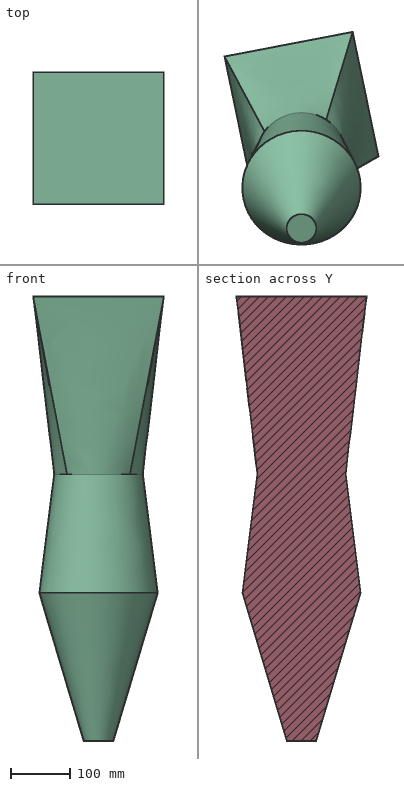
import cadquery as cq
import math

total_height = 750.0
shoulder_height = total_height / 3
neck_height = 450.0
tip_radius = total_height / 30
shoulder_radius = 4 * tip_radius
neck_radius = 3 * tip_radius
head_width = 220.5
head_depth = 223.0


def make_round_body():
    """Two cones that meet at the shoulder, revolved about Z."""
    return (
        cq.Workplane("XZ")
        .lineTo(tip_radius, 0)
        .lineTo(shoulder_radius, shoulder_height)
        .lineTo(neck_radius, neck_height)
        .lineTo(0, neck_height)
        .close()
        .revolve(360, (0, 0), (0, 1))
    )


def make_neck_wire():
    """Neck circle split into four arcs, one below each side of the head."""
    diagonal = neck_radius * math.sqrt(0.5)
    return (
        cq.Workplane("XY", origin=(0, 0, neck_height))
        .moveTo(-diagonal, -diagonal)
        .threePointArc((0, -neck_radius), (diagonal, -diagonal))
        .threePointArc((neck_radius, 0), (diagonal, diagonal))
        .threePointArc((0, neck_radius), (-diagonal, diagonal))
        .threePointArc((-neck_radius, 0), (-diagonal, -diagonal))
        .close()
        .val()
    )


def make_head():
    """Round-to-square transition with straight edges up to the four corners."""
    half_width = head_width / 2
    half_depth = head_depth / 2
    top_wire = (
        cq.Workplane("XY", origin=(0, 0, total_height))
        .moveTo(-half_width, -half_depth)
        .lineTo(half_width, -half_depth)
        .lineTo(half_width, half_depth)
        .lineTo(-half_width, half_depth)
        .close()
        .val()
    )
    return cq.Workplane(cq.Solid.makeLoft([make_neck_wire(), top_wire], True))


result = make_round_body().union(make_head())